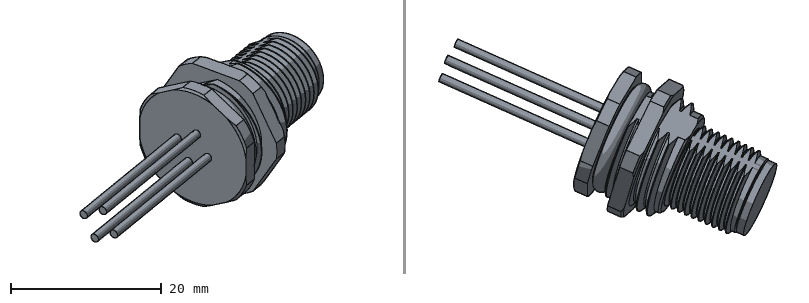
import cadquery as cq
import math


HEAD_END = 1.05
NECK_END = 1.25
PLUG_END = 11.3
NUT_START = 15.57
NUT_END = 17.82
SHANK_END = 19.2
FLANGE_START = 21.3
FLANGE_END = 23.3
TOTAL_LENGTH = 45.6

HEAD_RADIUS = 5.22
NECK_RADIUS = 4.67
PLUG_CORE_RADIUS = 5.35
PLUG_CREST_RADIUS = 5.9
PLUG_PITCH = 1.0
PLUG_THREAD_START = 1.87
PLUG_RIB_BASE = 0.85
PLUG_RIB_CREST = 0.12
PLUG_FLAT_DISTANCE = 5.33

SHANK_CORE_RADIUS = 7.11
SHANK_CREST_RADIUS = 8.0
SHANK_PITCH = 1.5
SHANK_THREAD_START = 12.2
SHANK_THREAD_LENGTH = 7.1
SHANK_RIB_BASE = 1.25
SHANK_RIB_CREST = 0.15
SHANK_FLAT_DISTANCE = 6.72
SHANK_CHAMFER = 0.3

FLAT_ANGLE = 120.0
THREAD_START_ANGLE = FLAT_ANGLE + 90.0
RIB_EMBED = 0.1

O_RING_TUBE_RADIUS = 1.0
O_RING_OUTER_RADIUS = 7.83
O_RING_STATION = SHANK_END + O_RING_TUBE_RADIUS
SEAT_RADIUS = 6.95

NUT_ACROSS_FLATS = 18.0
NUT_CORNER_RADIUS = 9.75
NUT_CHAMFER_RADIAL = 0.3
NUT_CHAMFER_AXIAL = 0.27
FLANGE_ACROSS_FLATS = 17.0
FLANGE_CORNER_RADIUS = 9.0
FLANGE_CHAMFER_RADIAL = 0.4
FLANGE_CHAMFER_AXIAL = 0.17

WIRE_COUNT = 4
WIRE_RADIUS = 0.6
WIRE_CIRCLE_RADIUS = 2.5
WIRE_START_ANGLE = 75.0


def cylinder(radius, start, end):
    return cq.Workplane("XY").workplane(offset=start).circle(radius).extrude(end - start)


def thread_rib(core_radius, crest_radius, base_width, crest_width, pitch, start, length):
    """Right-handed helical rib whose centre line starts at the given station."""
    slope = (base_width - crest_width) / (2 * (crest_radius - core_radius))
    half_root = base_width / 2 + slope * RIB_EMBED
    half_crest = crest_width / 2
    root_radius = core_radius - RIB_EMBED
    path = cq.Wire.makeHelix(pitch, length, core_radius)
    rib = (
        cq.Workplane("XZ")
        .moveTo(root_radius, -half_root)
        .lineTo(crest_radius, -half_crest)
        .lineTo(crest_radius, half_crest)
        .lineTo(root_radius, half_root)
        .close()
        .sweep(cq.Workplane(path), isFrenet=True)
    )
    return rib.rotate((0, 0, 0), (0, 0, 1), THREAD_START_ANGLE).translate((0, 0, start))


def cut_flat(body, distance, start, end):
    """Remove everything beyond a plane facing FLAT_ANGLE, between two stations."""
    size = 2 * SHANK_CREST_RADIUS
    block = (
        cq.Workplane("XY")
        .box(size, size, end - start, centered=(False, True, False))
        .translate((distance, 0, start))
        .rotate((0, 0, 0), (0, 0, 1), FLAT_ANGLE)
    )
    return body.cut(block)


def make_plug():
    rib = thread_rib(
        PLUG_CORE_RADIUS, PLUG_CREST_RADIUS, PLUG_RIB_BASE, PLUG_RIB_CREST,
        PLUG_PITCH, PLUG_THREAD_START, PLUG_END + PLUG_PITCH - PLUG_THREAD_START,
    )
    rib_end = PLUG_END + 2 * PLUG_PITCH
    threaded = cylinder(PLUG_CORE_RADIUS, NECK_END, rib_end).union(rib)
    threaded = cut_flat(threaded, PLUG_FLAT_DISTANCE, HEAD_END, rib_end)
    neck = cylinder(NECK_RADIUS, HEAD_END, NECK_END)
    head = cylinder(HEAD_RADIUS, 0, HEAD_END)
    return threaded.union(neck).union(head)


def make_shank():
    core = cylinder(SHANK_CORE_RADIUS, PLUG_END, SHANK_END)
    core = core.faces("<Z").chamfer(SHANK_CHAMFER)
    rib = thread_rib(
        SHANK_CORE_RADIUS, SHANK_CREST_RADIUS, SHANK_RIB_BASE, SHANK_RIB_CREST,
        SHANK_PITCH, SHANK_THREAD_START, SHANK_THREAD_LENGTH,
    )
    rib = rib.intersect(cylinder(2 * SHANK_CREST_RADIUS, PLUG_END, SHANK_END))
    core = cut_flat(core, SHANK_FLAT_DISTANCE, PLUG_END, SHANK_END)
    return core.union(cut_flat(rib, SHANK_FLAT_DISTANCE, PLUG_END, SHANK_END))


def make_o_ring():
    """O-ring and the seat under it, as one turned piece."""
    centre_radius = O_RING_OUTER_RADIUS - O_RING_TUBE_RADIUS
    ring_end = O_RING_STATION + O_RING_TUBE_RADIUS
    ring = (
        cq.Workplane("XZ")
        .moveTo(0, SHANK_END)
        .lineTo(centre_radius, SHANK_END)
        .threePointArc((O_RING_OUTER_RADIUS, O_RING_STATION), (centre_radius, ring_end))
        .lineTo(0, ring_end)
        .close()
        .revolve(360, (0, 0, 0), (0, 1, 0))
    )
    return ring.union(cylinder(SEAT_RADIUS, SHANK_END, FLANGE_START))


def hexagon(across_flats, start, end, turn):
    across_corners = across_flats / math.cos(math.pi / 6)
    prism = cq.Workplane("XY").workplane(offset=start).polygon(6, across_corners).extrude(end - start)
    return prism.rotate((0, 0, 0), (0, 0, 1), turn)


def make_nut():
    round_blank = cylinder(NUT_CORNER_RADIUS, NUT_START, NUT_END)
    round_blank = round_blank.faces("<Z").chamfer(NUT_CHAMFER_AXIAL, NUT_CHAMFER_RADIAL)
    return hexagon(NUT_ACROSS_FLATS, NUT_START, NUT_END, 0).intersect(round_blank)


def make_flange():
    round_blank = cylinder(FLANGE_CORNER_RADIUS, FLANGE_START, FLANGE_END)
    round_blank = round_blank.faces(">Z").chamfer(FLANGE_CHAMFER_AXIAL, FLANGE_CHAMFER_RADIAL)
    return hexagon(FLANGE_ACROSS_FLATS, FLANGE_START, FLANGE_END, 30).intersect(round_blank)


def make_wires():
    return (
        cq.Workplane("XY")
        .workplane(offset=FLANGE_END)
        .polarArray(WIRE_CIRCLE_RADIUS, WIRE_START_ANGLE, 360, WIRE_COUNT)
        .circle(WIRE_RADIUS)
        .extrude(TOTAL_LENGTH - FLANGE_END)
    )


connector = make_plug()
for piece in (make_shank(), make_nut(), make_o_ring(), make_flange(), make_wires()):
    connector = connector.union(piece)

result = connector.rotate((0, 0, 0), (1, 0, 0), 90).solids()